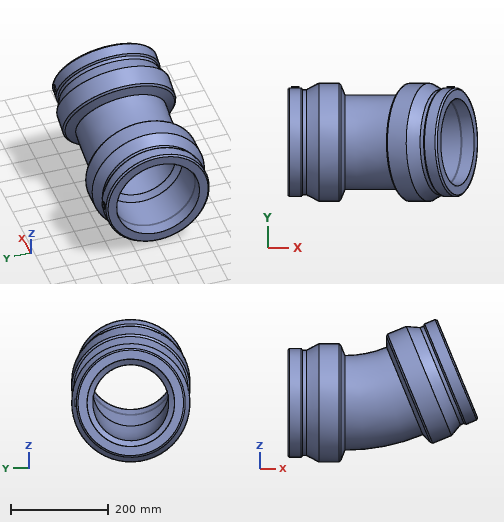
import cadquery as cq

bend_angle = 22.5
bend_radius = 321.5
pipe_radius = 97.8
bore_radius = 78.2

socket_length = 117.5
rim_radius = 112.2
rim_end = 30.5
rim_chamfer = 3.5
neck_radius = rim_radius - rim_chamfer
neck_end = 38.5
hub_radius = 122.0
hub_start = 63.7
hub_end = 109.5
hub_chamfer = 4.0
mouth_radius = 90.0
mouth_depth = 27.5
relief_taper = 2.5
relief_radius = 90.5
relief_end = 107.5

stub_radius = 8.0
stub_centre = 15.0
stub_top = 114.5
stub_root = 101.5


def make_socket():
    """Socket of revolution about X, open face at x = 0, body towards +X."""
    profile = [
        (0, mouth_radius),
        (0, neck_radius),
        (rim_chamfer, rim_radius),
        (rim_end - rim_chamfer, rim_radius),
        (rim_end, neck_radius),
        (neck_end, neck_radius),
        (hub_start, hub_radius),
        (hub_end - hub_chamfer, hub_radius),
        (hub_end, hub_radius - hub_chamfer),
        (socket_length, pipe_radius),
        (socket_length, bore_radius),
        (relief_end, relief_radius),
        (mouth_depth + relief_taper, relief_radius),
        (mouth_depth, mouth_radius),
    ]
    body = cq.Workplane("XY").polyline(profile).close().revolve(360, (0, 0, 0), (1, 0, 0))
    stub = (
        cq.Workplane("XZ", origin=(stub_centre, stub_root, 0))
        .circle(stub_radius)
        .extrude(stub_root - stub_top)
    )
    return body.union(stub)


def make_bend():
    """Curved pipe rising towards +Z, starting at the inner end of the first socket."""
    return (
        cq.Workplane("YZ", origin=(socket_length, 0, 0))
        .circle(pipe_radius)
        .circle(bore_radius)
        .revolve(bend_angle, (4, bend_radius, 0), (-4, bend_radius, 0))
    )


bend_centre = (socket_length, 0, bend_radius)
bend_axis_end = (socket_length, 1, bend_radius)

first_socket = make_socket()
second_socket = (
    first_socket.mirror("YZ", (socket_length, 0, 0))
    .rotate(bend_centre, bend_axis_end, -bend_angle)
)

result = first_socket.union(make_bend()).union(second_socket)